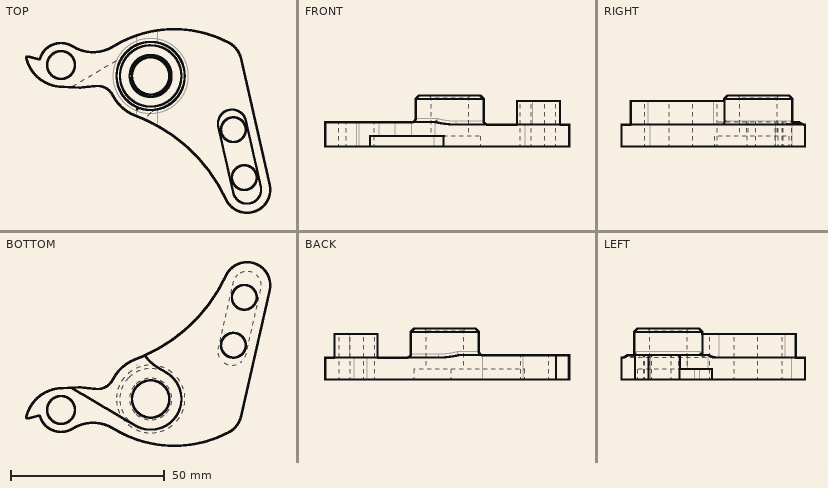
import cadquery as cq
import math

HEIGHT = 16.65
PLATE_TOP = 7.15
ARM_TOP = 7.95
PAD_TOP = 14.85

BOSS_CENTER = (0.0, 0.0)
BOSS_RADIUS = 11.1
BOSS_CHAMFER = 1.1
BOSS_FOOT_FILLET = 1.15
BORE_RADIUS = 6.05
BORE_CHAMFER = 0.8

STEP_END_X = 2.25
STEP_RADIUS = 30.0

HEAD_CENTER = (-29.2, 3.56)
HEAD_RADIUS = 7.2
HEAD_HOLE_RADIUS = 4.5
NECK_RADIUS = 12.5
HOOK_POINT = (-38.05, 5.88)
HOOK_ANGLE = -14.5
HOOK_TIP_FILLET = 0.5
BELLY_CENTER = (-28.6, 8.7)
BELLY_RADIUS = 12.3
BELLY_START_ANGLE = -98.2
HEEL_POINT = (-29.6, -3.54)
ARM_LOW_POINT = (-22.95, -3.85)
ARM_EDGE_ANGLE = 6.0
ARMPIT_RADIUS = 5.5

COLLAR_RADIUS = 13.9
CROWN_CENTER = (7.7, -22.6)
CROWN_RADIUS = 37.88
CORNER_RADIUS = 8.1
UNDERCURVE_RADIUS = 52.5

PAD_ANGLE = -77.2
UPPER_HOLE = (26.94, -17.5)
HOLE_SPACING = 16.0
PAD_HOLE_RADIUS = 4.0
PAD_RADIUS = 4.6
PAD_UPPER_TAIL = 2.0
PAD_LOWER_TAIL = 4.0
PLATE_END_RADIUS = 7.6

SEAT_DEPTH = 3.4
SEAT_RADIUS = 10.0
SEAT_ANGLE = 30.6
SEAT_SHORT_SIDE = 3.0
SEAT_FLARE_RADIUS = 15.0
SEAT_FLARE_SWEEP = 60.0
SEAT_LONG_SIDE = 45.0

BLOCK_SIZE = 100.0


def polar(origin, radius, degrees):
    """Point at a radius and angle from an origin."""
    angle = math.radians(degrees)
    return (origin[0] + radius * math.cos(angle), origin[1] + radius * math.sin(angle))


def bearing(start, end):
    """Angle in degrees from one point to another."""
    return math.degrees(math.atan2(end[1] - start[1], end[0] - start[0]))


def circle_crossing(center_a, radius_a, center_b, radius_b):
    """Crossing of two circles that lies left of the direction from A to B."""
    distance = math.dist(center_a, center_b)
    cosine = (distance**2 + radius_a**2 - radius_b**2) / (2 * distance * radius_a)
    return polar(center_a, radius_a, bearing(center_a, center_b) + math.degrees(math.acos(cosine)))


def line_entry(point, degrees, center, radius):
    """Point at which a directed line through a given point enters a circle."""
    direction = polar((0, 0), 1, degrees)
    offset = (center[0] - point[0], center[1] - point[1])
    along = offset[0] * direction[0] + offset[1] * direction[1]
    across = offset[0] * direction[1] - offset[1] * direction[0]
    half_chord = math.sqrt(radius**2 - across**2)
    return polar(point, along - half_chord, degrees)


def arc_to(sketch, center, start, end, clockwise=True):
    """Continue an outline from its current point, the start, along a circle to the end point."""
    start_angle = bearing(center, start)
    sweep = (bearing(center, end) - start_angle) % 360
    if clockwise:
        sweep -= 360
    middle = polar(center, math.dist(center, start), start_angle + sweep / 2)
    return sketch.threePointArc(middle, end)


LOWER_HOLE = polar(UPPER_HOLE, HOLE_SPACING, PAD_ANGLE)
PAD_UPPER_END = polar(UPPER_HOLE, -PAD_UPPER_TAIL, PAD_ANGLE)
PAD_LOWER_END = polar(LOWER_HOLE, PAD_LOWER_TAIL, PAD_ANGLE)
HOOK_TIP = line_entry(HOOK_POINT, HOOK_ANGLE, BELLY_CENTER, BELLY_RADIUS)


def make_outline():
    """Closed outline of the arm and plate, drawn clockwise from the hook tip."""
    hook_root = line_entry(HOOK_POINT, HOOK_ANGLE, HEAD_CENTER, HEAD_RADIUS)

    neck_center = circle_crossing(
        HEAD_CENTER, HEAD_RADIUS + NECK_RADIUS, CROWN_CENTER, CROWN_RADIUS + NECK_RADIUS
    )
    head_end = polar(HEAD_CENTER, HEAD_RADIUS, bearing(HEAD_CENTER, neck_center))
    neck_end = polar(CROWN_CENTER, CROWN_RADIUS, bearing(CROWN_CENTER, neck_center))

    edge_normal = PAD_ANGLE + 90
    corner_path = polar(PAD_LOWER_END, PLATE_END_RADIUS - CORNER_RADIUS, edge_normal)
    corner_center = line_entry(
        corner_path, PAD_ANGLE, CROWN_CENTER, CROWN_RADIUS - CORNER_RADIUS
    )
    crown_end = polar(CROWN_CENTER, CROWN_RADIUS, bearing(CROWN_CENTER, corner_center))
    corner_end = polar(corner_center, CORNER_RADIUS, edge_normal)
    edge_end = polar(PAD_LOWER_END, PLATE_END_RADIUS, edge_normal)

    undercurve_center = circle_crossing(
        PAD_LOWER_END,
        PLATE_END_RADIUS + UNDERCURVE_RADIUS,
        BOSS_CENTER,
        COLLAR_RADIUS + UNDERCURVE_RADIUS,
    )
    plate_end = polar(PAD_LOWER_END, PLATE_END_RADIUS, bearing(PAD_LOWER_END, undercurve_center))
    collar_start = polar(BOSS_CENTER, COLLAR_RADIUS, bearing(BOSS_CENTER, undercurve_center))

    armpit_path = polar(ARM_LOW_POINT, ARMPIT_RADIUS, ARM_EDGE_ANGLE - 90)
    armpit_center = line_entry(
        armpit_path, ARM_EDGE_ANGLE, BOSS_CENTER, COLLAR_RADIUS + ARMPIT_RADIUS
    )
    collar_end = polar(BOSS_CENTER, COLLAR_RADIUS, bearing(BOSS_CENTER, armpit_center))
    armpit_end = polar(armpit_center, ARMPIT_RADIUS, ARM_EDGE_ANGLE + 90)

    belly_start = polar(BELLY_CENTER, BELLY_RADIUS, BELLY_START_ANGLE)

    outline = cq.Workplane("XY").moveTo(*HOOK_TIP).lineTo(*hook_root)
    outline = arc_to(outline, HEAD_CENTER, hook_root, head_end)
    outline = arc_to(outline, neck_center, head_end, neck_end, clockwise=False)
    outline = arc_to(outline, CROWN_CENTER, neck_end, crown_end)
    outline = arc_to(outline, corner_center, crown_end, corner_end)
    outline = outline.lineTo(*edge_end)
    outline = arc_to(outline, PAD_LOWER_END, edge_end, plate_end)
    outline = arc_to(outline, undercurve_center, plate_end, collar_start, clockwise=False)
    outline = arc_to(outline, BOSS_CENTER, collar_start, collar_end)
    outline = arc_to(outline, armpit_center, collar_end, armpit_end, clockwise=False)
    outline = outline.lineTo(*ARM_LOW_POINT).lineTo(*HEEL_POINT).lineTo(*belly_start)
    outline = arc_to(outline, BELLY_CENTER, belly_start, HOOK_TIP)
    return outline.close()


def make_plate():
    """Plate and thicker arm, joined by a concave step in the top face."""
    plate = make_outline().extrude(ARM_TOP)
    tip_edge = cq.NearestToPointSelector((*HOOK_TIP, ARM_TOP / 2))
    plate = plate.edges(tip_edge).fillet(HOOK_TIP_FILLET)

    step_center = (STEP_END_X, PLATE_TOP + STEP_RADIUS)
    rise = ARM_TOP - PLATE_TOP
    step_start_x = STEP_END_X - math.sqrt(STEP_RADIUS**2 - (STEP_RADIUS - rise) ** 2)
    step_start = (step_start_x, ARM_TOP)
    removed = cq.Workplane("XZ").moveTo(*step_start)
    removed = arc_to(removed, step_center, step_start, (STEP_END_X, PLATE_TOP), clockwise=False)
    removed = removed.lineTo(BLOCK_SIZE, PLATE_TOP).lineTo(BLOCK_SIZE, ARM_TOP).close()
    return plate.cut(removed.extrude(BLOCK_SIZE, both=True))


def add_boss(body):
    """Chamfered round boss with a fillet around its foot."""
    boss = cq.Workplane("XY").circle(BOSS_RADIUS).extrude(HEIGHT)
    boss = boss.faces(">Z").edges().chamfer(BOSS_CHAMFER)
    body = body.union(boss)
    reach = BOSS_RADIUS + BOSS_FOOT_FILLET / 2
    margin = BOSS_FOOT_FILLET / 2
    foot_zone = cq.selectors.BoxSelector(
        (-reach, -reach, PLATE_TOP - margin), (reach, reach, ARM_TOP + margin), boundingbox=True
    )
    return body.edges(foot_zone).fillet(BOSS_FOOT_FILLET)


def add_pad(body):
    """Raised round-ended pad along the right-hand edge."""
    center = [(a + b) / 2 for a, b in zip(PAD_UPPER_END, PAD_LOWER_END)]
    length = math.dist(PAD_UPPER_END, PAD_LOWER_END) + 2 * PAD_RADIUS
    pad = cq.Workplane("XY").center(*center).slot2D(length, 2 * PAD_RADIUS, PAD_ANGLE)
    return body.union(pad.extrude(PAD_TOP))


def cut_hole(body, center, radius):
    """Round hole through the full height."""
    return body.cut(cq.Workplane("XY").center(*center).circle(radius).extrude(HEIGHT))


def cut_bore(body):
    """Through bore with a chamfered upper rim."""
    body = cut_hole(body, BOSS_CENTER, BORE_RADIUS)
    rim = cq.Workplane("XY").workplane(offset=HEIGHT - BORE_CHAMFER).circle(BORE_RADIUS)
    rim = rim.workplane(offset=BORE_CHAMFER).circle(BORE_RADIUS + BORE_CHAMFER).loft()
    return body.cut(rim)


def cut_seat(body):
    """U-shaped underside seat, flared on its lower side and open towards the arm."""
    open_angle = SEAT_ANGLE + 180
    upper_tangent = polar(BOSS_CENTER, SEAT_RADIUS, SEAT_ANGLE + 90)
    lower_tangent = polar(BOSS_CENTER, SEAT_RADIUS, SEAT_ANGLE - 90)
    long_side_end = polar(upper_tangent, SEAT_LONG_SIDE, open_angle)
    flare_start = polar(lower_tangent, SEAT_SHORT_SIDE, open_angle)
    flare_center = polar(flare_start, SEAT_FLARE_RADIUS, open_angle + 90)
    flare_end = polar(flare_center, SEAT_FLARE_RADIUS, SEAT_ANGLE + 90 + SEAT_FLARE_SWEEP)

    seat = cq.Workplane("XY").moveTo(*long_side_end).lineTo(*upper_tangent)
    seat = arc_to(seat, BOSS_CENTER, upper_tangent, lower_tangent)
    seat = seat.lineTo(*flare_start)
    seat = arc_to(seat, flare_center, flare_start, flare_end, clockwise=False)
    return body.cut(seat.close().extrude(SEAT_DEPTH))


result = make_plate()
result = add_boss(result)
result = add_pad(result)
result = cut_bore(result)
result = cut_hole(result, HEAD_CENTER, HEAD_HOLE_RADIUS)
for hole_center in (UPPER_HOLE, LOWER_HOLE):
    result = cut_hole(result, hole_center, PAD_HOLE_RADIUS)
result = cut_seat(result)